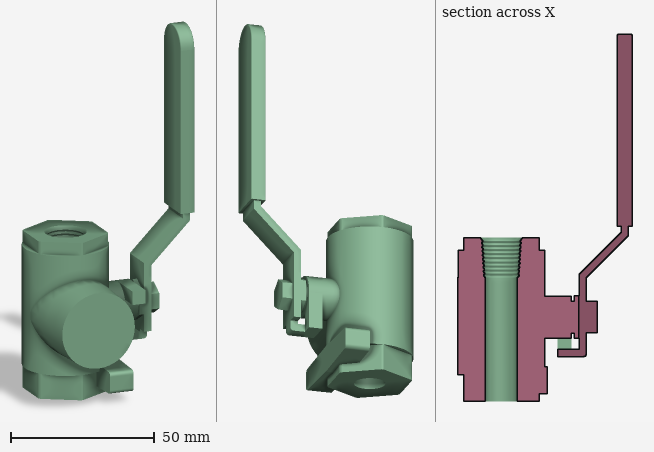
import cadquery as cq
import math

HOUSING_RADIUS = 15.2
HOUSING_BOTTOM = 9.2
HOUSING_TOP = 52.7
TOTAL_HEIGHT = 57.2
HEX_ACROSS_FLATS = 26.4
HEX_CORNER_RADIUS = 15.0
BORE_RADIUS = 5.5

THREAD_MOUTH_RADIUS = 7.4
THREAD_START_RADIUS = 6.4
THREAD_END_RADIUS = 5.6
THREAD_MOUTH_DEPTH = 1.3
THREAD_PITCH = 1.4
THREAD_DEPTH = 0.5
THREAD_TURNS = 9

AXIS_HEIGHT = 29.5
BRANCH_END_X = 29.8
BRANCH_END_RADIUS = 13.7
BRANCH_ROOT_RADIUS = 15.0

BOSS_RADIUS = 7.4
BOSS_FACE_Y = 24.5
STOP_DEPTH = 4.9
STOP_THICKNESS = 4.9
STOP_REACH = 13.8
STOP_INSET = 0.8
STOP_OUTER = BOSS_RADIUS

COLLAR_RADIUS = 5.6
COLLAR_LENGTH = 0.9
SEAT_ACROSS_FLATS = 12.9
SEAT_LENGTH = 1.7

BAR_HALF_LENGTH = 23.2
BAR_CENTER_Z = 7.4
BAR_HALF_HEIGHT_END = 3.8
BAR_HALF_HEIGHT_MIDDLE = 4.7
BAR_FRONT_Y = 7.2
BAR_BACK_Y = 16.0
BAR_FILLET = 1.4

NUT_ACROSS_FLATS = 9.7
NUT_LENGTH = 3.7
PLATE_THICKNESS = 2.7
PLATE_WIDTH = SEAT_ACROSS_FLATS
PLATE_BOTTOM_Z = 19.3
PLATE_BEND_Z = 43.8
BEND_ANGLE = 45.0
PLATE_OFFSET = 14.6
TAB_BOTTOM_Z = 15.6
TAB_THICKNESS = 2.7
TAB_BEND_RADIUS = 1.2
GRIP_WIDTH = 15.4
GRIP_THICKNESS = 5.2
GRIP_BOTTOM_Z = 61.0
GRIP_TOP_Z = 128.0
GRIP_EDGE_FILLET = 0.4

TAB_WIDTH = 2 * (STOP_OUTER - STOP_THICKNESS)
COLLAR_FACE_Y = BOSS_FACE_Y + COLLAR_LENGTH
PLATE_FRONT_Y = COLLAR_FACE_Y + SEAT_LENGTH
PLATE_BACK_Y = PLATE_FRONT_Y + PLATE_THICKNESS
GRIP_CENTER_Y = PLATE_FRONT_Y + PLATE_THICKNESS / 2 + PLATE_OFFSET


def corner_diameter(across_flats):
    """Diameter of the circle through the corners of a hexagon."""
    return across_flats / math.cos(math.radians(30))


def box(x0, x1, y0, y1, z0, z1):
    """Axis-aligned box between two opposite corners."""
    return cq.Workplane("XY").box(x1 - x0, y1 - y0, z1 - z0, centered=False).translate((x0, y0, z0))


def stem_plane(y):
    """XZ sketch plane centred on the stem axis, whose normal points along +Y."""
    return cq.Workplane(cq.Plane((0, y, AXIS_HEIGHT), xDir=(0, 0, 1), normal=(0, 1, 0)))


def make_barrel():
    """Round barrel between two wrench hexagons with turned-off corners."""
    hexagon = cq.Workplane("XY").polygon(6, corner_diameter(HEX_ACROSS_FLATS)).extrude(TOTAL_HEIGHT)
    turning = cq.Workplane("XY").circle(HEX_CORNER_RADIUS).extrude(TOTAL_HEIGHT)
    barrel = (
        cq.Workplane("XY")
        .workplane(offset=HOUSING_BOTTOM)
        .circle(HOUSING_RADIUS)
        .extrude(HOUSING_TOP - HOUSING_BOTTOM)
    )
    return hexagon.intersect(turning).union(barrel)


def make_branch():
    """Conical side branch from the barrel axis to its flat end."""
    profile = [
        (0, AXIS_HEIGHT),
        (0, AXIS_HEIGHT + BRANCH_ROOT_RADIUS),
        (BRANCH_END_X, AXIS_HEIGHT + BRANCH_END_RADIUS),
        (BRANCH_END_X, AXIS_HEIGHT),
    ]
    return (
        cq.Workplane("XZ")
        .polyline(profile)
        .close()
        .revolve(360, (0, AXIS_HEIGHT), (BRANCH_END_X, AXIS_HEIGHT))
    )


def make_boss():
    """Stem boss with a stop toward +X on its upper side and one downward on its -X side."""
    boss = stem_plane(0).circle(BOSS_RADIUS).extrude(BOSS_FACE_Y)
    stop_y = BOSS_FACE_Y - STOP_DEPTH
    side_stop = box(
        STOP_INSET, STOP_REACH,
        stop_y, BOSS_FACE_Y,
        AXIS_HEIGHT + STOP_OUTER - STOP_THICKNESS, AXIS_HEIGHT + STOP_OUTER,
    )
    lower_stop = box(
        -STOP_OUTER, -STOP_OUTER + STOP_THICKNESS,
        stop_y, BOSS_FACE_Y,
        AXIS_HEIGHT - STOP_REACH, AXIS_HEIGHT - STOP_INSET,
    )
    return boss.union(side_stop).union(lower_stop)


def make_seat():
    """Collar on the boss face and the hexagon that the handle plate rests on."""
    collar = stem_plane(BOSS_FACE_Y).circle(COLLAR_RADIUS).extrude(COLLAR_LENGTH)
    hexagon = stem_plane(COLLAR_FACE_Y).polygon(6, corner_diameter(SEAT_ACROSS_FLATS)).extrude(SEAT_LENGTH)
    return collar.union(hexagon)


def make_bar():
    """Cross bar along X, a little higher in the middle than at its rounded ends."""
    outline = [
        (-BAR_HALF_LENGTH, BAR_CENTER_Z - BAR_HALF_HEIGHT_END),
        (0, BAR_CENTER_Z - BAR_HALF_HEIGHT_MIDDLE),
        (BAR_HALF_LENGTH, BAR_CENTER_Z - BAR_HALF_HEIGHT_END),
        (BAR_HALF_LENGTH, BAR_CENTER_Z + BAR_HALF_HEIGHT_END),
        (0, BAR_CENTER_Z + BAR_HALF_HEIGHT_MIDDLE),
        (-BAR_HALF_LENGTH, BAR_CENTER_Z + BAR_HALF_HEIGHT_END),
    ]
    bar = (
        cq.Workplane("XZ", origin=(0, BAR_FRONT_Y, 0))
        .polyline(outline)
        .close()
        .extrude(BAR_FRONT_Y - BAR_BACK_Y)
    )
    return bar.edges("|Y and (<X or >X)").fillet(BAR_FILLET)


def make_bore():
    """Through bore with the tapered ring thread at its top end."""
    thread_top = TOTAL_HEIGHT - THREAD_MOUTH_DEPTH
    taper_step = (THREAD_START_RADIUS - THREAD_END_RADIUS) / THREAD_TURNS
    profile = [
        (0, 0),
        (BORE_RADIUS, 0),
        (BORE_RADIUS, thread_top - THREAD_TURNS * THREAD_PITCH),
    ]
    for turn in range(THREAD_TURNS, 0, -1):
        crest_radius = THREAD_START_RADIUS - turn * taper_step
        crest_z = thread_top - turn * THREAD_PITCH
        profile.append((crest_radius, crest_z))
        profile.append((crest_radius + THREAD_DEPTH, crest_z + THREAD_PITCH / 2))
    profile += [
        (THREAD_START_RADIUS, thread_top),
        (THREAD_MOUTH_RADIUS, TOTAL_HEIGHT),
        (0, TOTAL_HEIGHT),
    ]
    return cq.Workplane("XZ").polyline(profile).close().revolve(360, (0, 0), (0, 1))


def make_housing():
    """Barrel, branch, boss, seat and bar in one piece, with the bore cut through."""
    solid = make_barrel().union(make_branch()).union(make_boss()).union(make_seat()).union(make_bar())
    return solid.cut(make_bore())


def make_nut():
    """Hexagon nut on the back of the handle plate."""
    return stem_plane(PLATE_BACK_Y).polygon(6, corner_diameter(NUT_ACROSS_FLATS)).extrude(NUT_LENGTH)


def make_plate():
    """Handle plate with a 45 degree offset, up to the lower end of the grip."""
    bend_shift = PLATE_THICKNESS / 2 * math.tan(math.radians(BEND_ANGLE / 2))
    front_bend_z = PLATE_BEND_Z + bend_shift
    back_bend_z = PLATE_BEND_Z - bend_shift
    outline = [
        (PLATE_FRONT_Y, PLATE_BOTTOM_Z),
        (PLATE_FRONT_Y, front_bend_z),
        (PLATE_FRONT_Y + PLATE_OFFSET, front_bend_z + PLATE_OFFSET),
        (PLATE_FRONT_Y + PLATE_OFFSET, GRIP_BOTTOM_Z),
        (PLATE_BACK_Y + PLATE_OFFSET, GRIP_BOTTOM_Z),
        (PLATE_BACK_Y + PLATE_OFFSET, back_bend_z + PLATE_OFFSET),
        (PLATE_BACK_Y, back_bend_z),
        (PLATE_BACK_Y, PLATE_BOTTOM_Z),
    ]
    return cq.Workplane("YZ").polyline(outline).close().extrude(PLATE_WIDTH / 2, both=True)


def make_tab():
    """Narrow tab bent from the plate's lower end, bearing on the lower stop."""
    half_width = TAB_WIDTH / 2
    tip_y = BOSS_FACE_Y - STOP_DEPTH
    foot = box(
        -half_width, half_width, tip_y, PLATE_BACK_Y, TAB_BOTTOM_Z, TAB_BOTTOM_Z + TAB_THICKNESS
    )
    neck = box(-half_width, half_width, PLATE_FRONT_Y, PLATE_BACK_Y, TAB_BOTTOM_Z, PLATE_BOTTOM_Z)
    return foot.union(neck).edges("|X and >Y and <Z").fillet(TAB_BEND_RADIUS)


def make_grip():
    """Long grip with a half-round top and softened long edges."""
    half_width = GRIP_WIDTH / 2
    arc_z = GRIP_TOP_Z - half_width
    grip = (
        cq.Workplane("XZ", origin=(0, GRIP_CENTER_Y, 0))
        .moveTo(-half_width, GRIP_BOTTOM_Z)
        .lineTo(half_width, GRIP_BOTTOM_Z)
        .lineTo(half_width, arc_z)
        .threePointArc((0, GRIP_TOP_Z), (-half_width, arc_z))
        .close()
        .extrude(GRIP_THICKNESS / 2, both=True)
    )
    return grip.faces("<Y or >Y").edges("not <Z").fillet(GRIP_EDGE_FILLET)


def make_handle():
    """Bent plate, tab, nut and grip in one piece."""
    return make_plate().union(make_tab()).union(make_nut()).union(make_grip())


housing = make_housing()
handle = make_handle()

result = cq.Compound.makeCompound([housing.solids().val(), handle.solids().val()])